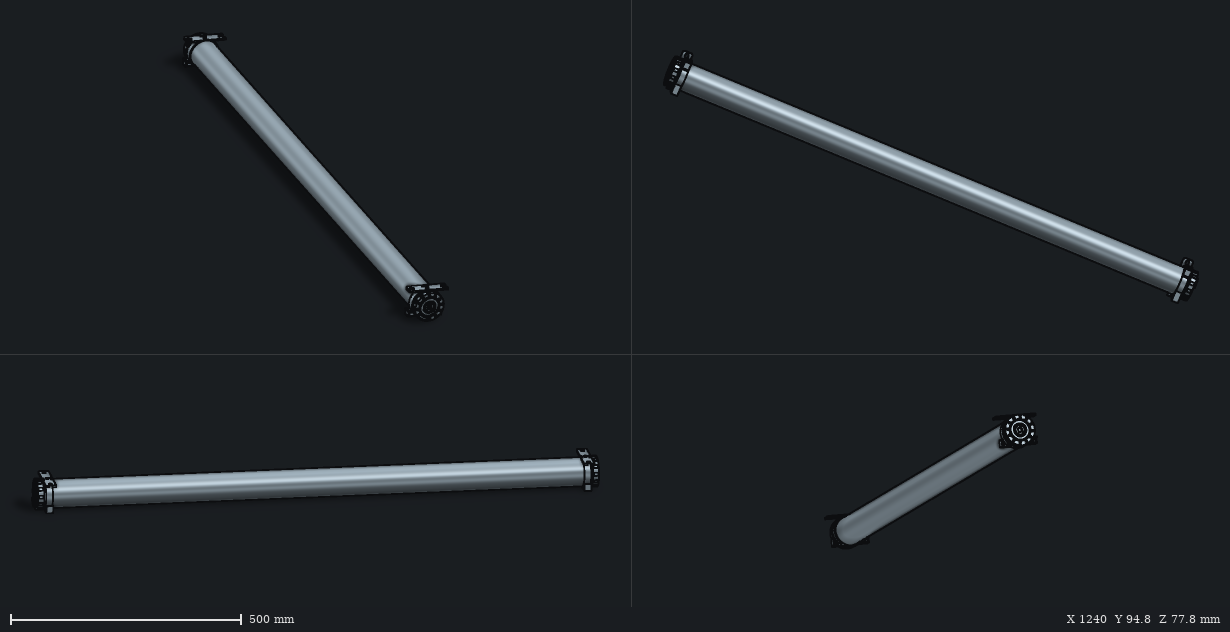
import cadquery as cq
import math


tube_diameter = 64.0
cap_diameter = 68.0
cap_length = 13.5
body_length = 1237.0
half_body = body_length / 2
tube_length = body_length - 2 * cap_length

socket_diameter = 29.0
socket_depth = 6.0
core_diameter = 20.0
core_hole_diameter = 10.0
rim_groove_inner_radius = 21.5
rim_groove_outer_radius = 24.0
rim_groove_depth = 2.0
pocket_count = 12
pocket_diameter = 4.0
pocket_depth = 2.0
pocket_circle_radius = 27.5
grip_count = 12
grip_width = 7.0
grip_depth = 1.6
grip_length = 9.5
tab_height = 3.0
tab_inner_radius = 25.0
tab_outer_radius = 31.0
tab_mid_angle = 230.0
tab_span = 44.0

clamp_spacing = 1187.0
clamp_tilt = -8.0
band_width = 15.0
band_thickness = 2.7
band_inner_radius = tube_diameter / 2
band_outer_radius = band_inner_radius + band_thickness

plate_length = 91.9
plate_width = 23.0
plate_thickness = 4.0
plate_top = 35.8
plate_hole_diameter = 7.0
slot_width = 7.0
slot_depth = 13.0
closed_slot_length = 11.0
closed_slot_margin = 3.5
plate_corner_radius = 5.0

upper_ear_reach = 42.4
lower_ear_reach = 40.7
ear_thickness = 2.0
upper_ear_z = -15.5
lower_ear_z = -28.0
hook_reach = 40.0
hook_bottom = -30.7
hook_height = 16.0
hook_thickness = 4.0

latch_thickness = 4.0


def x_cylinder(radius, x_start, length, y=0.0, z=0.0):
    """Cylinder along X that starts at x_start."""
    return cq.Workplane("YZ", origin=(x_start, y, z)).circle(radius).extrude(length)


def box_between(x_size, y_min, y_max, z_min, z_max):
    """Box centred on X = 0 between the given Y and Z limits."""
    box = cq.Workplane("XY").box(x_size, y_max - y_min, z_max - z_min)
    return box.translate((0, (y_min + y_max) / 2, (z_min + z_max) / 2))


def polar_point(radius, angle):
    """Point in the YZ plane at an angle in degrees from +Y."""
    turn = math.radians(angle)
    return radius * math.cos(turn), radius * math.sin(turn)


def build_tube():
    return x_cylinder(tube_diameter / 2, -tube_length / 2, tube_length)


def build_cap():
    """Cap with its outer face at X = 0 and its body toward +X."""
    cap = x_cylinder(cap_diameter / 2, 0, cap_length)
    socket = x_cylinder(socket_diameter / 2, 0, socket_depth)
    core = x_cylinder(core_diameter / 2, 0, socket_depth)
    core_hole = x_cylinder(core_hole_diameter / 2, 0, socket_depth)
    cap = cap.cut(socket.cut(core)).cut(core_hole)

    groove = x_cylinder(rim_groove_outer_radius, 0, rim_groove_depth)
    cap = cap.cut(groove.cut(x_cylinder(rim_groove_inner_radius, 0, rim_groove_depth)))

    grip_start = (cap_length - grip_length) / 2
    grip_cutter = (
        cq.Workplane("XY")
        .box(grip_length, grip_width, 2 * grip_depth)
        .translate((grip_start + grip_length / 2, 0, cap_diameter / 2))
    )
    for index in range(grip_count):
        angle = 360.0 * index / grip_count
        cap = cap.cut(grip_cutter.rotate((0, 0, 0), (1, 0, 0), angle))

    for index in range(pocket_count):
        y, z = polar_point(pocket_circle_radius, 360.0 * index / pocket_count)
        cap = cap.cut(x_cylinder(pocket_diameter / 2, 0, pocket_depth, y, z))
    return cap


def build_tab():
    """Curved locating tab on the outer face of the +X cap."""
    start = tab_mid_angle - tab_span / 2
    end = tab_mid_angle + tab_span / 2
    return (
        cq.Workplane("YZ", origin=(half_body, 0, 0))
        .moveTo(*polar_point(tab_inner_radius, start))
        .lineTo(*polar_point(tab_outer_radius, start))
        .threePointArc(polar_point(tab_outer_radius, tab_mid_angle), polar_point(tab_outer_radius, end))
        .lineTo(*polar_point(tab_inner_radius, end))
        .threePointArc(polar_point(tab_inner_radius, tab_mid_angle), polar_point(tab_inner_radius, start))
        .close()
        .extrude(tab_height)
    )


def build_band():
    """Ring around the tube with two clamp ears and an L-shaped hook."""
    band = x_cylinder(band_outer_radius, -band_width / 2, band_width)
    for ear_reach, ear_z in ((upper_ear_reach, upper_ear_z), (lower_ear_reach, lower_ear_z)):
        ear_half = ear_thickness / 2
        band = band.union(box_between(band_width, -ear_reach, 0, ear_z - ear_half, ear_z + ear_half))
    hook_inner_floor = hook_bottom + hook_thickness
    band = band.union(box_between(band_width, 0, hook_reach, hook_bottom, hook_inner_floor))
    hook_wall = box_between(
        band_width, hook_reach - hook_thickness, hook_reach, hook_bottom, hook_bottom + hook_height
    )
    band = band.union(hook_wall)
    return band.cut(x_cylinder(band_inner_radius, -band_width / 2, band_width))


def build_plate():
    """Flat plate seated on the band: centre hole, open slot at +Y, closed slot at -Y."""
    half_length = plate_length / 2
    plate = box_between(plate_width, -half_length, half_length, plate_top - plate_thickness, plate_top)
    plate = plate.edges("|Z and <Y").fillet(plate_corner_radius)
    plate = plate.cut(cq.Workplane("XY").circle(plate_hole_diameter / 2).extrude(plate_top))
    closed_slot_y = -half_length + closed_slot_margin + closed_slot_length / 2
    for slot_y, slot_length in ((half_length, 2 * slot_depth), (closed_slot_y, closed_slot_length)):
        slot = cq.Workplane("XY").center(0, slot_y).slot2D(slot_length, slot_width, 90)
        plate = plate.cut(slot.extrude(plate_top))
    return plate.cut(x_cylinder(band_outer_radius, -plate_width / 2, plate_width))


def build_latch():
    """Block that fills the gap between the ears, flush with the end of the lower ear."""
    bottom = lower_ear_z + ear_thickness / 2
    top = upper_ear_z - ear_thickness / 2
    return box_between(band_width, -lower_ear_reach, latch_thickness - lower_ear_reach, bottom, top)


def place_on_clamp(body, side):
    """Tilt a clamp body about the tube axis and move it to one end of the tube."""
    tilted = body.rotate((0, 0, 0), (1, 0, 0), clamp_tilt)
    return tilted.translate((side * clamp_spacing / 2, 0, 0)).solids()


tube = build_tube()
left_cap = build_cap().translate((-half_body, 0, 0))
right_cap = build_cap().mirror("YZ").translate((half_body, 0, 0)).union(build_tab())

bodies = [tube.val(), left_cap.solids().val(), right_cap.solids().val()]
for side in (-1, 1):
    for clamp_body in (build_band(), build_plate(), build_latch()):
        bodies.append(place_on_clamp(clamp_body, side).val())

result = cq.Compound.makeCompound(bodies)